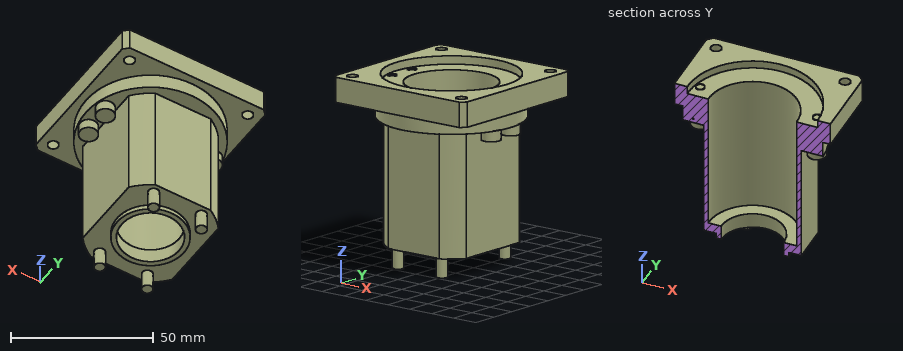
import cadquery as cq

total_height = 68.9
plate_thickness = 9.2
flange_bottom_depth = 15.3
body_bottom_depth = 61.4
boss_height = 1.9

plate_side = 60.0
plate_chamfer = 2.0
mount_hole_diameter = 4.0
mount_hole_pitch = 49.55

flange_diameter = 54.0
recess_diameter = 50.0
recess_depth = 3.0

body_width = 37.6
body_length = 42.1
body_corner_diameter = 48.0

bore_diameter = 34.0
outlet_diameter = 24.0
boss_diameter = 28.0
floor_thickness = 4.0

screw_diameter = 3.3
screw_head_diameter = 7.0
screw_head_height = 4.0
screw_pitch_x = 44.9
screw_pitch_y = 10.95
screw_tip_depth = 0.3

pin_diameter = 4.1
pin_pitch_x = 20.0
pin_pitch_y = 35.0

plate_bottom = total_height - plate_thickness
flange_bottom = total_height - flange_bottom_depth
body_bottom = total_height - body_bottom_depth
recess_floor = total_height - recess_depth


def cylinder(diameter, bottom, top):
    """Vertical cylinder on the central axis."""
    return cq.Workplane("XY").workplane(offset=bottom).circle(diameter / 2).extrude(top - bottom)


def four_cylinders(diameter, pitch_x, pitch_y, bottom, top):
    """Vertical cylinders at the corners of a centred rectangle."""
    return (
        cq.Workplane("XY")
        .workplane(offset=bottom)
        .rect(pitch_x, pitch_y, forConstruction=True)
        .vertices()
        .circle(diameter / 2)
        .extrude(top - bottom)
    )


def make_plate():
    blank = (
        cq.Workplane("XY")
        .workplane(offset=plate_bottom)
        .rect(plate_side, plate_side)
        .extrude(plate_thickness)
        .edges("|Z")
        .chamfer(plate_chamfer)
    )
    holes = four_cylinders(
        mount_hole_diameter, mount_hole_pitch, mount_hole_pitch, plate_bottom, total_height
    )
    return blank.cut(holes)


def make_body():
    block = (
        cq.Workplane("XY")
        .workplane(offset=body_bottom)
        .rect(body_width, body_length)
        .extrude(flange_bottom - body_bottom)
    )
    return block.intersect(cylinder(body_corner_diameter, body_bottom, flange_bottom))


def make_screw_heads():
    head_bottom = flange_bottom - screw_head_height
    return four_cylinders(
        screw_head_diameter, screw_pitch_x, screw_pitch_y, head_bottom, flange_bottom
    )


def make_screw_tip_pockets():
    """Shallow ends of the screw holes, left open above the screw tips."""
    tip_level = recess_floor - screw_tip_depth
    return four_cylinders(screw_diameter, screw_pitch_x, screw_pitch_y, tip_level, recess_floor)


boss_bottom = body_bottom - boss_height
housing = (
    make_plate()
    .union(cylinder(flange_diameter, flange_bottom, plate_bottom))
    .union(make_body())
    .union(cylinder(boss_diameter, boss_bottom, body_bottom))
    .cut(cylinder(recess_diameter, recess_floor, total_height))
)
pins = four_cylinders(pin_diameter, pin_pitch_x, pin_pitch_y, 0, body_bottom)

result = (
    housing
    .union(make_screw_heads())
    .cut(make_screw_tip_pockets())
    .cut(cylinder(bore_diameter, body_bottom + floor_thickness, recess_floor))
    .cut(cylinder(outlet_diameter, boss_bottom, total_height))
    .union(pins)
)